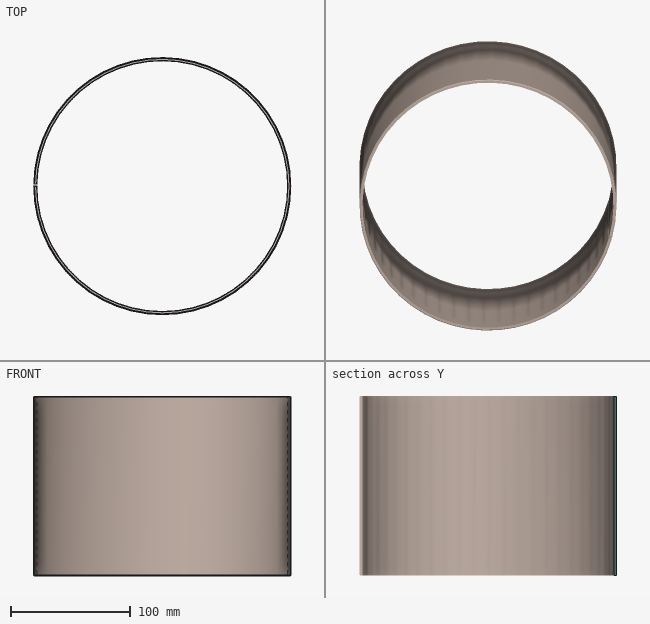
import cadquery as cq

outer_diameter = 215.0
height = 150.0
wall = 2.5
slit_width = 1.7
rim_chamfer = 0.6

outer_radius = outer_diameter / 2
inner_radius = outer_radius - wall

outer_body = cq.Workplane("XY").circle(outer_radius).extrude(height)
outer_body = outer_body.faces("<Z or >Z").edges().chamfer(rim_chamfer)
bore = cq.Workplane("XY").circle(inner_radius).extrude(height)
tube = outer_body.cut(bore)

slit_length = 2 * wall
slit = (
    cq.Workplane("XY")
    .center(-(outer_radius + inner_radius) / 2, slit_width / 2)
    .rect(slit_length, slit_width)
    .extrude(height)
)

result = tube.cut(slit)